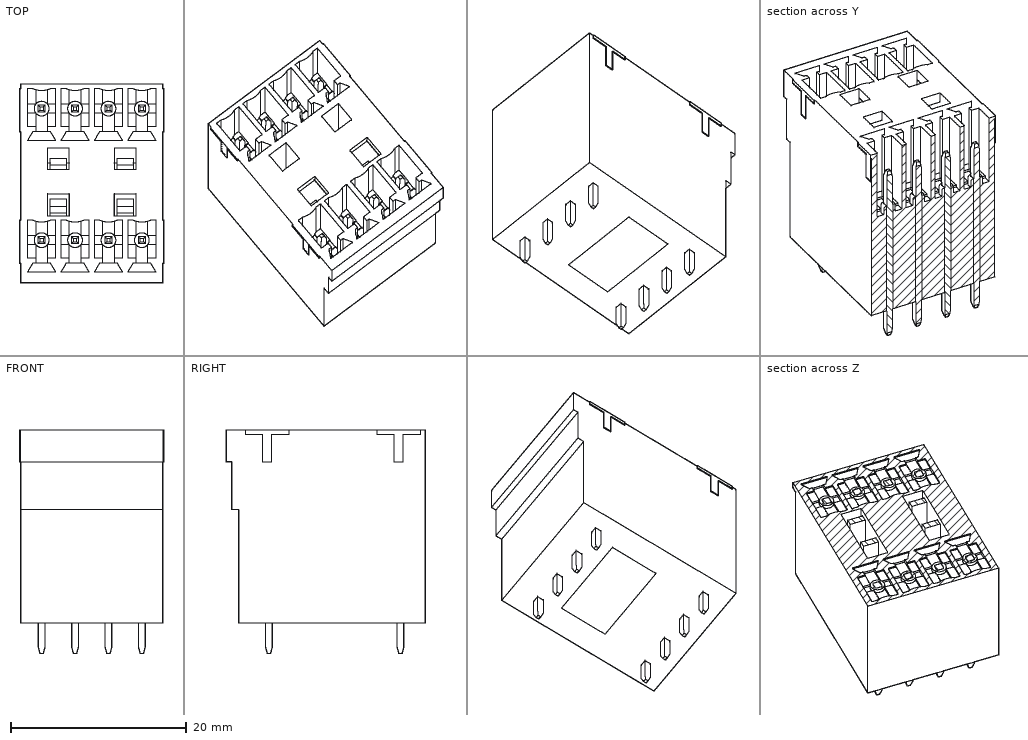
import cadquery as cq
import math


body_width = 16.22
body_depth = 22.7
body_height = 22.0
total_height = 25.5
lip_height = 3.62
step_height = 9.08
lip_overhang = 0.6
step_overhang = 0.82

columns = 4
row_length = 11.42
pitch = row_length / (columns - 1)
row_pitch = 15.0
first_row_y = -2.83
column_xs = [(i - (columns - 1) / 2) * pitch for i in range(columns)]
row_ys = [first_row_y, first_row_y - row_pitch]
contact_places = [(x, y) for y in row_ys for x in column_xs]

chamber_width = 3.21
chamber_back = 2.27
chamber_front = -2.01
chamber_floor = 8.42
bulge_width = 2.0
bulge_height = 0.2
channel_width = 1.33
channel_depth = 0.25
cross_groove_width = 1.02
key_narrow_y = -2.63
key_wide_y = -3.65
key_narrow_width = 2.01
key_wide_width = chamber_width

collar_diameter = 1.68
collar_rounding = 0.25
collar_height = 0.76

pin_width = 0.8
pin_top = -3.05
tip_length = 0.75
tip_inset = 0.2

pad_thickness = 0.1
pad_bar_back = 2.27
pad_bar_length = 4.92
pad_bar_height = 0.5
pad_stem_back = 0.3
pad_stem_width = 1.02
pad_height = 3.67

slot_x = pitch
slot_width = 2.45
slot_back = -7.32
slot_front = -15.1
slot_floor = 17.85
roof_thickness = 1.25
back_window_length = 2.45
front_window_length = 2.55
front_window_width = 2.52

plate_back = -9.0
plate_width = 2 * slot_x + slot_width
plate_thickness = 3.05
plate_top = -body_height + plate_thickness
hook_width = 1.89
hook_top = -6.12
arm_thickness = 0.82
barb_reach = 0.76
barb_slope = 60.0
barb_height = barb_reach * math.tan(math.radians(barb_slope))
barb_land = 0.5
arm_inner_ys = [-10.07, -13.15]
heel_height = 5.1


def block(x_center, width, y_front, y_back, z_bottom, z_top):
    """Axis-aligned block, centred on x_center."""
    return (
        cq.Workplane("XY", origin=(x_center, 0, z_bottom))
        .rect(width, y_back - y_front)
        .extrude(z_top - z_bottom)
        .translate((0, (y_back + y_front) / 2, 0))
    )


def make_outer_block():
    """Housing block with the two steps on its -Y side."""
    middle_y = -body_depth + lip_overhang
    lower_y = middle_y + step_overhang
    return (
        cq.Workplane("YZ", origin=(-body_width / 2, 0, 0))
        .polyline([
            (0, 0),
            (-body_depth, 0),
            (-body_depth, -lip_height),
            (middle_y, -lip_height),
            (middle_y, -step_height),
            (lower_y, -step_height),
            (lower_y, -body_height),
            (0, -body_height),
        ])
        .close()
        .extrude(body_width)
    )


def make_side_pad(side, row_y):
    """T-shaped pad on the side face at +X (side = 1) or -X (side = -1)."""
    x = side * (body_width + pad_thickness) / 2
    bar_back = row_y + pad_bar_back
    stem_back = row_y + pad_stem_back
    bar = block(x, pad_thickness, bar_back - pad_bar_length, bar_back, -pad_bar_height, 0)
    stem = block(x, pad_thickness, stem_back - pad_stem_width, stem_back, -pad_height, 0)
    return bar.union(stem)


def make_chamber():
    """Space for one plug contact, around a contact axis at the origin."""
    floor = -chamber_floor
    groove_floor = floor - channel_depth
    half = chamber_width / 2
    main = (
        cq.Workplane("XY", origin=(0, 0, floor))
        .moveTo(-half, chamber_front)
        .lineTo(-half, chamber_back)
        .lineTo(-bulge_width / 2, chamber_back)
        .threePointArc((0, chamber_back - bulge_height), (bulge_width / 2, chamber_back))
        .lineTo(half, chamber_back)
        .lineTo(half, chamber_front)
        .close()
        .extrude(chamber_floor)
    )
    key = (
        cq.Workplane("XY", origin=(0, 0, floor))
        .polyline([
            (-key_narrow_width / 2, key_narrow_y),
            (key_narrow_width / 2, key_narrow_y),
            (key_wide_width / 2, key_wide_y),
            (-key_wide_width / 2, key_wide_y),
        ])
        .close()
        .extrude(chamber_floor)
    )
    neck = block(0, channel_width, key_narrow_y, chamber_front, groove_floor, 0)
    channel = (
        block(0, channel_width, chamber_front, chamber_back, groove_floor, floor)
        .intersect(main.translate((0, 0, -channel_depth)))
    )
    half_groove = cross_groove_width / 2
    cross_groove = block(0, chamber_width, -half_groove, half_groove, groove_floor, floor)
    return main.union(key).union(neck).union(channel).union(cross_groove)


def make_collar():
    """Round collar with a rounded rim, standing in the floor grooves."""
    return (
        cq.Workplane("XY", origin=(0, 0, -chamber_floor - channel_depth))
        .circle(collar_diameter / 2)
        .extrude(channel_depth + collar_height)
        .faces(">Z")
        .edges()
        .fillet(collar_rounding)
    )


def make_latch_slot(side):
    """Slot for one back and one front hook, with its two windows."""
    x = side * slot_x
    slot = block(x, slot_width, slot_front, slot_back, -slot_floor, -roof_thickness)
    back_window = block(x, slot_width, slot_back - back_window_length, slot_back, -roof_thickness, 0)
    front_window = block(
        x, front_window_width, slot_front, slot_front + front_window_length, -roof_thickness, 0
    )
    return slot.union(back_window).union(front_window)


def make_plate():
    """Plate that fills the recess in the underside of the housing."""
    return block(0, plate_width, slot_front, plate_back, -body_height, plate_top)


def make_plate_recess():
    """Recess for the plate, open upwards into both latch slots."""
    recess = make_plate()
    for side in (-1, 1):
        passage = block(side * slot_x, slot_width, slot_front, plate_back, plate_top, -slot_floor)
        recess = recess.union(passage)
    return recess


def make_pin():
    """Square contact pin on the Z axis, tapered at both ends."""
    tip_width = pin_width - 2 * tip_inset
    shank_top = pin_top - tip_length
    shank_bottom = -total_height + tip_length
    shank = (
        cq.Workplane("XY", origin=(0, 0, shank_bottom))
        .rect(pin_width, pin_width)
        .extrude(shank_top - shank_bottom)
    )
    for z, direction in ((shank_top, 1), (shank_bottom, -1)):
        tip = (
            cq.Workplane("XY", origin=(0, 0, z))
            .rect(pin_width, pin_width)
            .workplane(offset=direction * tip_length)
            .rect(tip_width, tip_width)
            .loft(ruled=True)
        )
        shank = shank.union(tip)
    return shank


def make_hook(side, inner_y, direction):
    """Latch arm whose barb points towards +Y (direction = 1) or -Y (direction = -1)."""
    outer_y = inner_y + direction * arm_thickness
    nose_y = outer_y + direction * barb_reach
    nose_top = hook_top - barb_height
    return (
        cq.Workplane("YZ", origin=(side * slot_x - hook_width / 2, 0, 0))
        .polyline([
            (inner_y, plate_top),
            (inner_y, hook_top),
            (outer_y, hook_top),
            (nose_y, nose_top),
            (nose_y, nose_top - barb_land),
            (outer_y, nose_top - barb_land),
            (outer_y, plate_top),
        ])
        .close()
        .extrude(hook_width)
    )


def make_latch_base():
    """Plate with four hooks; a heel stands in front of each front hook."""
    back_arm_y, front_arm_y = arm_inner_ys
    heel_back = front_arm_y - arm_thickness
    base = make_plate()
    for side in (-1, 1):
        heel = block(side * slot_x, hook_width, slot_front, heel_back, plate_top, plate_top + heel_height)
        base = base.union(make_hook(side, back_arm_y, 1))
        base = base.union(make_hook(side, front_arm_y, -1))
        base = base.union(heel)
    return base


def make_housing(pins):
    """Housing with all chambers, latch slots and pin holes."""
    body = make_outer_block()
    for row_y in row_ys:
        for side in (-1, 1):
            body = body.union(make_side_pad(side, row_y))
    chamber = make_chamber()
    collar = make_collar()
    for x, y in contact_places:
        body = body.cut(chamber.translate((x, y, 0)))
        body = body.union(collar.translate((x, y, 0)))
    for side in (-1, 1):
        body = body.cut(make_latch_slot(side))
    body = body.cut(make_plate_recess())
    for pin in pins:
        body = body.cut(pin)
    return body


pins = [make_pin().translate((x, y, 0)) for x, y in contact_places]
latch_base = make_latch_base()
housing = make_housing(pins)

result = cq.Compound.makeCompound([
    housing.val(),
    latch_base.val(),
    *[pin.val() for pin in pins],
])